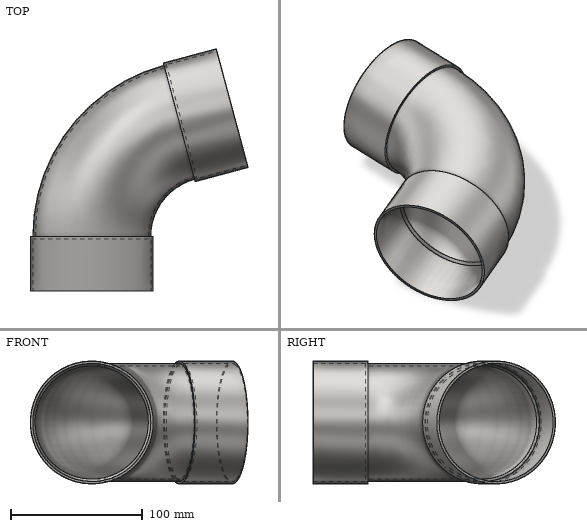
import cadquery as cq

wall = 1.8
pipe_diameter = 90.0
pipe_bore = pipe_diameter - 2 * wall
socket_bore = pipe_diameter
socket_diameter = socket_bore + 2 * wall
socket_length = 41.8
shoulder_length = 1.8
socket_depth = socket_length - shoulder_length
bend_radius = pipe_diameter
bend_angle = 75

bend_centre = (bend_radius, socket_length, 0)


def cylinder_along_y(diameter, length):
    """Cylinder running from the mouth plane inward along +Y."""
    return cq.Workplane("XZ").circle(diameter / 2).extrude(-length)


def bend(diameter):
    """Solid round bend that starts at the inner end of the first socket."""
    return (
        cq.Workplane("XZ", origin=(0, socket_length, 0))
        .circle(diameter / 2)
        .revolve(bend_angle, (bend_radius, 1.8, 0), (bend_radius, 0, 0))
    )


def at_far_end(body):
    """Copy of a first-socket body, turned to the other end of the bend."""
    mirrored = body.mirror("XZ", (0, socket_length, 0))
    axis_end = (bend_centre[0], bend_centre[1], 1)
    return mirrored.rotate(bend_centre, axis_end, -bend_angle)


sleeve = cylinder_along_y(socket_diameter, socket_length)
outside = bend(pipe_diameter).union(sleeve).union(at_far_end(sleeve))

socket_recess = cylinder_along_y(socket_bore, socket_depth)
shoulder = (
    cq.Workplane("XZ", origin=(0, socket_depth, 0))
    .circle(socket_bore / 2)
    .workplane(offset=-shoulder_length)
    .circle(pipe_bore / 2)
    .loft()
)
end_cavity = socket_recess.union(shoulder)
inside = bend(pipe_bore).union(end_cavity).union(at_far_end(end_cavity))

result = outside.cut(inside)